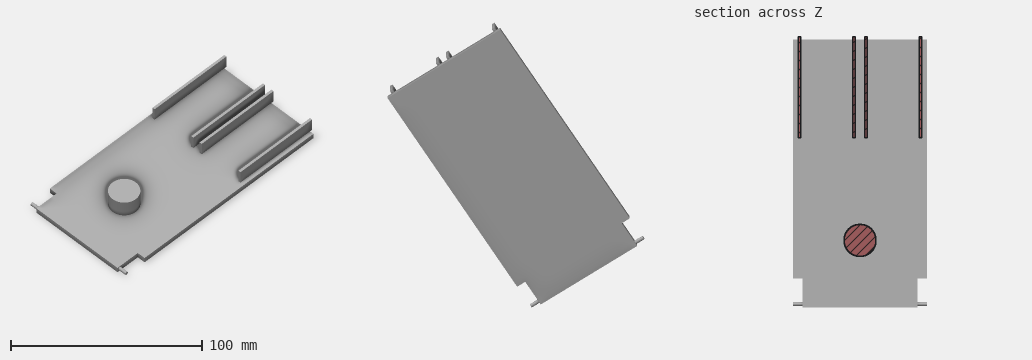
import cadquery as cq

plate_width = 70.0
plate_thickness = 3.3
plate_back = 69.9
plate_front = -70.0

tongue_width = 60.0
tongue_length = 15.0

pin_diameter = 2.0
pin_setback = 1.7

knob_diameter = 17
knob_height = 9.8
knob_setback = 35.0

rib_thickness = 1.5
rib_height = 7.9
rib_length = 53.0
rib_overhang = 1.5
outer_rib_offset = 31.7
inner_rib_offset = 3.1


def make_plate():
    """Flat plate with a narrower tongue at the front."""
    shoulder = plate_front + tongue_length
    body = cq.Workplane("XY").box(
        plate_width, plate_back - shoulder, plate_thickness, centered=(True, False, False)
    ).translate((0, shoulder, 0))
    tongue = cq.Workplane("XY").box(
        tongue_width, tongue_length, plate_thickness, centered=(True, False, False)
    ).translate((0, plate_front, 0))
    return body.union(tongue)


def make_pins():
    """One rod along X whose ends stand out on both sides of the tongue."""
    return (
        cq.Workplane("YZ")
        .center(plate_front + pin_setback, plate_thickness / 2)
        .circle(pin_diameter / 2)
        .extrude(plate_width / 2, both=True)
    )


def make_knob():
    """Round knob on the top face."""
    return (
        cq.Workplane("XY", origin=(0, plate_front + knob_setback, plate_thickness))
        .circle(knob_diameter / 2)
        .extrude(knob_height)
    )


def make_rib(x):
    """Upright rib centred at x, overhanging the back edge of the plate."""
    rib_front = plate_back + rib_overhang - rib_length
    return cq.Workplane("XY").box(
        rib_thickness, rib_length, rib_height, centered=(True, False, False)
    ).translate((x, rib_front, plate_thickness))


result = make_plate().union(make_pins()).union(make_knob())
for rib_x in (-outer_rib_offset, -inner_rib_offset, inner_rib_offset, outer_rib_offset):
    result = result.union(make_rib(rib_x))